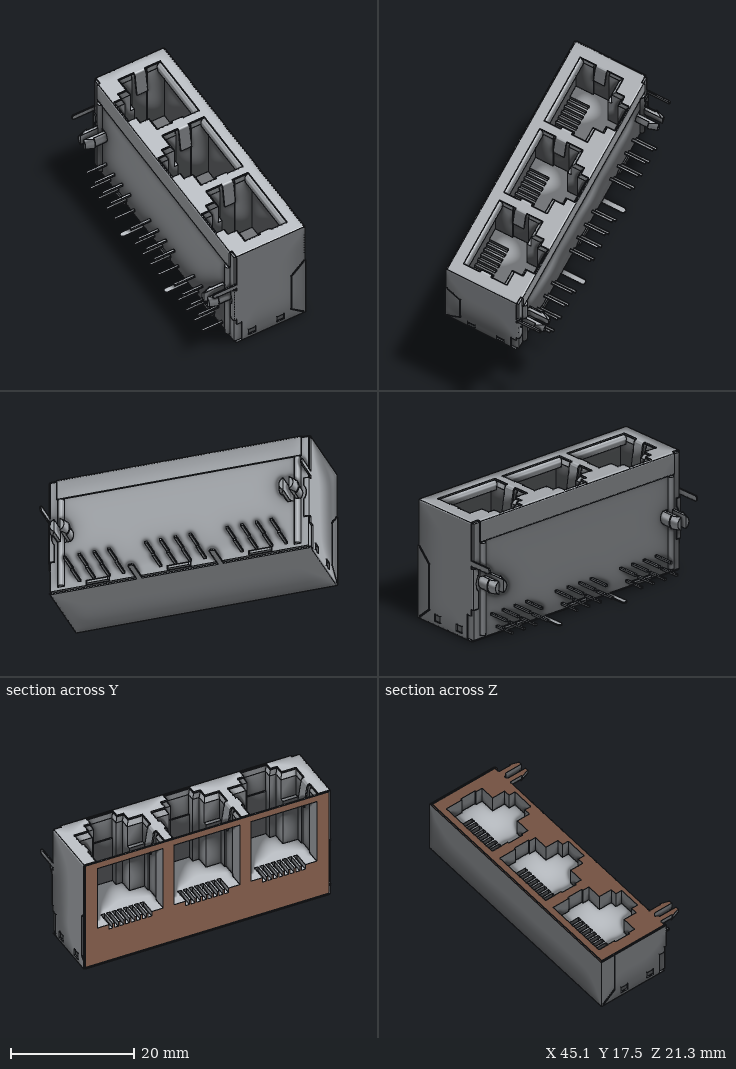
import cadquery as cq
import math


LENGTH = 45.1
HEIGHT = 21.3
REAR_Y = 13.35
SHEET = 0.25
BEND_RADIUS = 0.4
DEPTH = 17.5
TAIL_END_Y = REAR_Y - DEPTH
HALF = LENGTH / 2

INNER_HALF = HALF - SHEET
INNER_REAR_Y = REAR_Y - SHEET
INNER_TOP = HEIGHT - SHEET

CLEARANCE = 0.1
HOUSING_HALF = INNER_HALF - CLEARANCE
HOUSING_TOP = INNER_TOP - CLEARANCE
HOUSING_BOTTOM = SHEET + CLEARANCE

PORT_PITCH = 14
PORT_CENTRES = [-PORT_PITCH, 0, PORT_PITCH]
LEAD_IN_DEPTH = 0.8
LIP_RADIUS = 0.7
LIP_BOTTOM = 19.6
REAR_WALL_Y = 11.8
LEDGE_Z = 16.25
PORT_FLOOR_Z = 7.65
MOUTH = dict(plug=6.2, shoulder=3.6, latch=2.4, back=11.2, plug_y=3.25, shoulder_y=1.62, latch_y=0.2)
THROAT = dict(MOUTH, plug=5.95, shoulder=3.2, latch=2.05, plug_y=3.85, shoulder_y=2.05, latch_y=0.55)
WELL = dict(THROAT, back=REAR_WALL_Y, plug_y=4.5, latch_y=0.8)

CONTACTS = 8
CONTACT_SPAN = 7.12
CONTACT_PITCH = CONTACT_SPAN / (CONTACTS - 1)
CONTACT_WIDTH = 0.65
CONTACT_FRONT_Y = 8.25
CONTACT_DEPTH = 0.9

SPRING_Y = 7.15
SPRING_WIDTH = 2.05
SPRING_SLOT_WIDTH = 2.9
SPRING_BEND = 0.55
SPRING_REACH = 1.13
SPRING_DROP = 4.5

PINS = 8
PIN_SPAN = 8.9
PIN_PITCH = PIN_SPAN / (PINS - 1)
PIN_WIDTH = 0.4
PIN_THICKNESS = 0.34
PIN_ROWS_Z = [4.05, 1.5]
PIN_END_Y = -3.8

PEG_X = 19.7
PEG_Z = 10.35
PEG_HEIGHT = 2.3
PEG_RADIUS = 1.55
BARB_RADIUS = 1.7
PEG_TIP_RADIUS = 1.2
BARB_Y = -2.3
PEG_TIP_Y = -3.9
PEG_SLOT = 1.05

RIB_X = 20.35
RIB_WIDTH = 1.13
RIB_BOTTOM = 0.95
RIB_TOP = 17.25
KEY_WIDTH = 3.95
KEY_BOTTOM = 0.45
KEY_TOP = 1.13
KEY_RISE = 0.5
KEY_CHAMFER = 0.23

SHIELD_FRONT_Y = 0.3
FLAP_HALF = 21.0
FLAP_BOTTOM = 17.5
WING_TOP = 13.05
WING_SHOULDER = 10.55
WING_BOTTOM = 2.5
WING_Y = 10.5
SEAM = 0.2
NOTCH_TOP = 4.7
NOTCH_Y = 1.3
WINDOW_YS = [8.55, 3.25]
WINDOW_LENGTH = 1.4
WINDOW_BOTTOM = 0.9
WINDOW_TOP = 2.1
TAB_BOTTOM = 5.8
TAB_WIDTH = 1.1
TAB_CLEARANCE_RADIUS = 2.2
TAIL_WIDTH = 0.95
TAIL_CHAMFER = 0.25
SIDE_TAIL_Z = 14
BOTTOM_TAIL_XS = [-PORT_PITCH / 2, PORT_PITCH / 2]


def block(x_range, y_range, z_range):
    """Box between the given limits along each axis."""
    size = [high - low for low, high in (x_range, y_range, z_range)]
    return cq.Workplane("XY").box(*size, centered=False).translate((x_range[0], y_range[0], z_range[0]))


def side_block(side, inner_x, outer_x, y_range, z_range):
    """Box on the right (side = 1) or left (side = -1) of the middle plane."""
    return block(sorted((side * inner_x, side * outer_x)), y_range, z_range)


def rod(x, z, radius, start_y, end_y, end_radius=None):
    """Round or conical rod running towards -Y."""
    base = cq.Workplane("XZ", origin=(x, start_y, z)).circle(radius)
    if end_radius is None:
        return base.extrude(start_y - end_y)
    return base.workplane(offset=start_y - end_y).circle(end_radius).loft()


def port_outline(sizes):
    right = [
        (sizes["plug"], sizes["back"]),
        (sizes["plug"], sizes["plug_y"]),
        (sizes["shoulder"], sizes["plug_y"]),
        (sizes["shoulder"], sizes["shoulder_y"]),
        (sizes["latch"], sizes["shoulder_y"]),
        (sizes["latch"], sizes["latch_y"]),
    ]
    return right + [(-x, y) for x, y in reversed(right)]


def port_prism(sizes, bottom, top):
    base = cq.Workplane("XY", origin=(0, 0, bottom))
    return base.polyline(port_outline(sizes)).close().extrude(top - bottom)


def port_taper(top_sizes, bottom_sizes, top, depth):
    return (
        cq.Workplane("XY", origin=(0, 0, top))
        .polyline(port_outline(top_sizes)).close()
        .workplane(offset=-depth)
        .polyline(port_outline(bottom_sizes)).close()
        .loft(ruled=True)
    )


def rear_lip():
    """Overhang with a rounded edge along the back of a port mouth."""
    lip_y = MOUTH["back"] - LIP_RADIUS
    lip = block((-MOUTH["plug"], MOUTH["plug"]), (lip_y, REAR_WALL_Y), (LIP_BOTTOM, HOUSING_TOP))
    return lip.edges("<Y and >Z").fillet(LIP_RADIUS)


def port_cavity():
    throat_top = HOUSING_TOP - LEAD_IN_DEPTH
    cavity = port_taper(MOUTH, THROAT, HOUSING_TOP, LEAD_IN_DEPTH)
    cavity = cavity.union(port_prism(THROAT, LEDGE_Z, throat_top))
    cavity = cavity.union(port_prism(WELL, PORT_FLOOR_Z, LEDGE_Z))
    behind_lip = block((-WELL["plug"], WELL["plug"]), (WELL["plug_y"], REAR_WALL_Y), (LEDGE_Z, LIP_BOTTOM))
    cavity = cavity.union(behind_lip).cut(rear_lip())
    spring_slot = block(
        (-MOUTH["plug"], MOUTH["plug"]),
        (SPRING_Y - SPRING_SLOT_WIDTH / 2, SPRING_Y + SPRING_SLOT_WIDTH / 2),
        (PORT_FLOOR_Z, HOUSING_TOP),
    )
    cavity = cavity.union(spring_slot)
    for i in range(CONTACTS):
        x = (i - (CONTACTS - 1) / 2) * CONTACT_PITCH
        groove = block(
            (x - CONTACT_WIDTH / 2, x + CONTACT_WIDTH / 2),
            (CONTACT_FRONT_Y, REAR_WALL_Y),
            (PORT_FLOOR_Z - CONTACT_DEPTH, PORT_FLOOR_Z),
        )
        cavity = cavity.union(groove)
    return cavity


def peg(x):
    """Split snap-in peg with a barb, flattened above and below; the split has a round bottom."""
    shaft = rod(x, PEG_Z, PEG_RADIUS, 0, BARB_Y)
    barb = rod(x, PEG_Z, BARB_RADIUS, BARB_Y, PEG_TIP_Y, PEG_TIP_RADIUS)
    flats = block(
        (x - BARB_RADIUS, x + BARB_RADIUS),
        (PEG_TIP_Y, 0),
        (PEG_Z - PEG_HEIGHT / 2, PEG_Z + PEG_HEIGHT / 2),
    )
    slot_radius = PEG_SLOT / 2
    slot = (
        cq.Workplane("XY", origin=(x, 0, PEG_Z - BARB_RADIUS))
        .moveTo(-slot_radius, PEG_TIP_Y)
        .lineTo(-slot_radius, -slot_radius)
        .threePointArc((0, 0), (slot_radius, -slot_radius))
        .lineTo(slot_radius, PEG_TIP_Y)
        .close()
        .extrude(2 * BARB_RADIUS)
    )
    return shaft.union(barb).intersect(flats).cut(slot)


def rib(x):
    """Half-round standoff rib; its rear half is buried in the housing."""
    return cq.Workplane("XY", origin=(x, 0, RIB_BOTTOM)).circle(RIB_WIDTH / 2).extrude(RIB_TOP - RIB_BOTTOM)


def key(x):
    """Low standoff pad below a port."""
    pad = block((x - KEY_WIDTH / 2, x + KEY_WIDTH / 2), (-KEY_RISE, 0), (KEY_BOTTOM, KEY_TOP))
    return pad.edges("<Y and (|Z or >Z)").chamfer(KEY_CHAMFER)


def pin(x, z):
    return block(
        (x - PIN_WIDTH / 2, x + PIN_WIDTH / 2),
        (PIN_END_Y, 0),
        (z - PIN_THICKNESS / 2, z + PIN_THICKNESS / 2),
    )


def make_housing():
    body = block((-HOUSING_HALF, HOUSING_HALF), (0, INNER_REAR_Y), (HOUSING_BOTTOM, HOUSING_TOP))
    cavity = port_cavity()
    for port_x in PORT_CENTRES:
        body = body.cut(cavity.translate((port_x, 0, 0)))
        body = body.union(key(port_x))
        for i in range(PINS):
            pin_x = port_x + (i - (PINS - 1) / 2) * PIN_PITCH
            body = body.union(pin(pin_x, PIN_ROWS_Z[i % 2]))
    for side in (-1, 1):
        body = body.union(rib(side * RIB_X)).union(peg(side * PEG_X))
    return body


def shield_shell():
    """Folded box open at the board face; its rear corners are round only above the wings."""
    upper = block((-HALF, HALF), (SHIELD_FRONT_Y, REAR_Y), (WING_TOP, HEIGHT))
    upper = upper.edges("(>Z and (|Y or >Y)) or (|Z and >Y)").fillet(BEND_RADIUS)
    lower = block((-HALF, HALF), (SHIELD_FRONT_Y, REAR_Y), (0, WING_TOP))
    lower = lower.edges("<Z and (|Y or >Y)").fillet(BEND_RADIUS)
    inside = block((-INNER_HALF, INNER_HALF), (0, INNER_REAR_Y), (SHEET, INNER_TOP))
    return upper.union(lower).cut(inside)


def front_flap():
    """Strip of the top folded down over the board face."""
    flap = block((-FLAP_HALF, FLAP_HALF), (-SHEET, SHIELD_FRONT_Y), (FLAP_BOTTOM, HEIGHT))
    flap = flap.edges("<Y and >Z").fillet(BEND_RADIUS)
    behind = block((-FLAP_HALF, FLAP_HALF), (0, SHIELD_FRONT_Y), (FLAP_BOTTOM, INNER_TOP))
    return flap.cut(behind)


def wing_seams():
    """Gaps in both side walls around the wings folded from the rear wall."""
    rear_run = REAR_Y - BEND_RADIUS
    end_shift = SEAM * math.sqrt(2)
    corner_shift = SEAM * math.tan(math.pi / 8)
    outer_edge = [
        (rear_run, WING_TOP),
        (WING_Y, WING_SHOULDER),
        (WING_Y, WING_BOTTOM),
        (rear_run, BEND_RADIUS),
    ]
    inner_edge = [
        (rear_run, WING_TOP - end_shift),
        (WING_Y + SEAM, WING_SHOULDER - corner_shift),
        (WING_Y + SEAM, WING_BOTTOM + corner_shift),
        (rear_run, BEND_RADIUS + end_shift),
    ]
    return cq.Workplane("YZ").polyline(outer_edge + inner_edge[::-1]).close().extrude(HALF, both=True)


def front_tab(side):
    """Part of a side wall folded over the board face, cleared around the peg."""
    z_range = (TAB_BOTTOM, WING_TOP)
    tab = side_block(side, HALF - TAB_WIDTH, HALF, (-SHEET, SHIELD_FRONT_Y), z_range)
    outer_edge = "<Y and >X" if side > 0 else "<Y and <X"
    tab = tab.edges(outer_edge).fillet(BEND_RADIUS)
    tab = tab.cut(side_block(side, 0, INNER_HALF, (0, SHIELD_FRONT_Y), z_range))
    return tab.cut(rod(side * PEG_X, PEG_Z, TAB_CLEARANCE_RADIUS, 0, -SHEET))


def side_tail(side):
    z_range = (SIDE_TAIL_Z - TAIL_WIDTH / 2, SIDE_TAIL_Z + TAIL_WIDTH / 2)
    tail = side_block(side, INNER_HALF, HALF, (TAIL_END_Y, SHIELD_FRONT_Y), z_range)
    return tail.edges("<Y and |X").chamfer(TAIL_CHAMFER)


def bottom_tail(x):
    tail = block((x - TAIL_WIDTH / 2, x + TAIL_WIDTH / 2), (TAIL_END_Y, SHIELD_FRONT_Y), (0, SHEET))
    return tail.edges("<Y and |Z").chamfer(TAIL_CHAMFER)


def port_spring(side):
    """Leaf bent down from the edge of a port opening and leaning into the port."""
    edge_x = MOUTH["plug"]
    bend_x = edge_x - SPRING_BEND
    tip_x = edge_x - SPRING_REACH
    bend_z = HEIGHT - SPRING_BEND
    tip_z = HEIGHT - SPRING_DROP
    leaf = (
        cq.Workplane("XZ", origin=(0, SPRING_Y + SPRING_WIDTH / 2, 0))
        .moveTo(edge_x, HEIGHT)
        .radiusArc((bend_x, bend_z), -SPRING_BEND)
        .lineTo(tip_x, tip_z)
        .lineTo(tip_x + SHEET, tip_z)
        .lineTo(bend_x + SHEET, bend_z)
        .radiusArc((edge_x, INNER_TOP), SPRING_BEND - SHEET)
        .close()
        .extrude(SPRING_WIDTH)
    )
    return leaf if side > 0 else leaf.mirror("YZ")


def make_shield():
    shield = shield_shell().union(front_flap())
    opening = port_prism(MOUTH, INNER_TOP, HEIGHT)
    for port_x in PORT_CENTRES:
        shield = shield.cut(opening.translate((port_x, 0, 0)))
        for side in (-1, 1):
            shield = shield.union(port_spring(side).translate((port_x, 0, 0)))
    shield = shield.cut(wing_seams())
    for side in (-1, 1):
        notch = side_block(side, INNER_HALF, HALF, (SHIELD_FRONT_Y, NOTCH_Y), (SHEET, NOTCH_TOP))
        shield = shield.cut(notch)
        for y in WINDOW_YS:
            y_range = (y - WINDOW_LENGTH / 2, y + WINDOW_LENGTH / 2)
            shield = shield.cut(side_block(side, INNER_HALF, HALF, y_range, (WINDOW_BOTTOM, WINDOW_TOP)))
        shield = shield.union(front_tab(side)).union(side_tail(side))
    for x in BOTTOM_TAIL_XS:
        shield = shield.union(bottom_tail(x))
    return shield


housing = make_housing()
shield = make_shield()
result = cq.Compound.makeCompound([*housing.solids().vals(), *shield.solids().vals()])